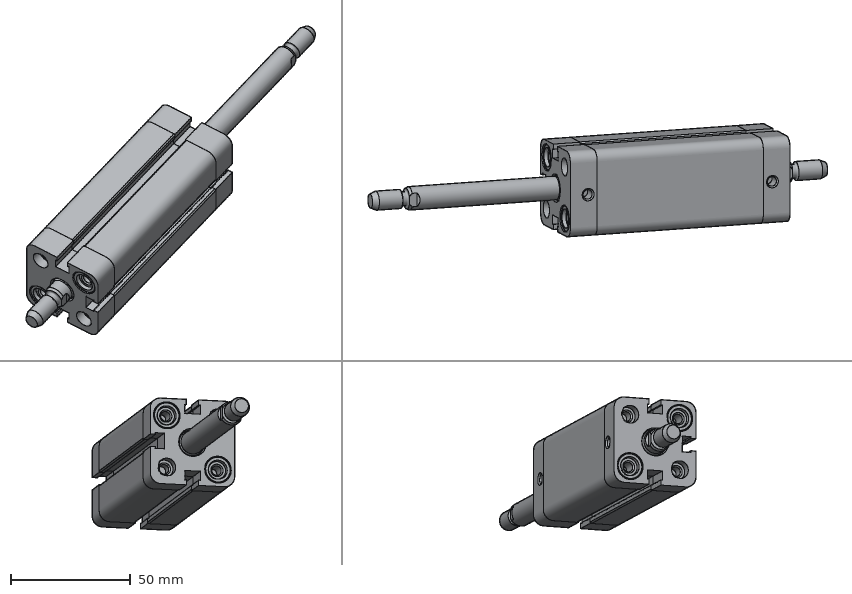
import cadquery as cq


OVERALL_LENGTH = 202
STROKE = 60.0
FRONT_REACH = 22.2
REAR_REACH = FRONT_REACH + STROKE
HOUSING_LENGTH = OVERALL_LENGTH - FRONT_REACH - REAR_REACH
CAP_LENGTH = 12.0
BARREL_LENGTH = HOUSING_LENGTH - 2 * CAP_LENGTH

HOUSING_WIDTH = 36.4
HALF_WIDTH = HOUSING_WIDTH / 2
CORNER_RADIUS = 4.5

SLOT_MOUTH_WIDTH = 5.3
SLOT_INNER_WIDTH = 6.7
SLOT_DEPTH = 6.0
SLOT_LIP = 2.2
BARREL_LIP_CHAMFER = 0.6
SLOT_ANGLES = (0, 90, 180)

BOLT_PITCH = 22.0
BOLT_OFFSET = BOLT_PITCH / 2
OPEN_HOLE_DIAMETER = 7.5
OPEN_HOLE_DEPTH = 4.5
HEAD_DIAMETER = 11.3
HEAD_RECESS = 0.5
HEAD_CHAMFER = 0.5
SOCKET_DIAMETER = 8.0
SOCKET_FLOOR_DIAMETER = 7.5
SOCKET_DEPTH = 1.6
THREAD_MAJOR_DIAMETER = 5.3
THREAD_MINOR_DIAMETER = 4.0
THREAD_CONE_DEPTH = (THREAD_MAJOR_DIAMETER - THREAD_MINOR_DIAMETER) / 2
TAPPED_HOLE_DEPTH = 10.1
PORT_DIAMETER = 4.0
PORT_CHAMFER = 0.6
PORT_DEPTH = 6.0
PORT_SETBACK = 7.9
LIP_GROOVE_DIAMETER = 12.0
LIP_GROOVE_FLOOR_DIAMETER = 11.0
LIP_GROOVE_DEPTH = 1.0

ROD_DIAMETER = 10.0
ROD_END_CHAMFER_DEPTH = 0.6
ROD_END_CHAMFER_LENGTH = 1.2
NECK_DIAMETER = 5.9
NECK_LENGTH = 2.8
NECK_FILLET = 0.6
THREAD_DIAMETER = 8.0
THREAD_LENGTH = 13.1
TIP_DIAMETER = 5.9
TIP_CHAMFER_LENGTH = 2.6
FLATS_WIDTH = 8.0
FLATS_LENGTH = 3.5
SHOULDER_REACH = FRONT_REACH - THREAD_LENGTH - NECK_LENGTH


def disc(diameter, start, length, x=0, z=0):
    """Cylinder along +Y from Y = start."""
    return cq.Workplane(cq.Solid.makeCylinder(
        diameter / 2, length, cq.Vector(x, start, z), cq.Vector(0, 1, 0)))


def cone(start_diameter, end_diameter, start, length, x=0, z=0):
    """Truncated cone along +Y from Y = start."""
    return cq.Workplane(cq.Solid.makeCone(
        start_diameter / 2, end_diameter / 2, length, cq.Vector(x, start, z), cq.Vector(0, 1, 0)))


def slot_cutter(length, lip_chamfer):
    """T-slot open towards +Z, running from Y = 0 to Y = length."""
    mouth = SLOT_MOUTH_WIDTH / 2
    inner = SLOT_INNER_WIDTH / 2
    lip_bottom = HALF_WIDTH - SLOT_LIP
    floor = HALF_WIDTH - SLOT_DEPTH
    right_side = [(inner, floor), (inner, lip_bottom), (mouth, lip_bottom)]
    if lip_chamfer > 0:
        right_side += [(mouth, HALF_WIDTH - lip_chamfer), (mouth + lip_chamfer, HALF_WIDTH)]
    else:
        right_side += [(mouth, HALF_WIDTH)]
    left_side = [(-x, z) for x, z in reversed(right_side)]
    return cq.Workplane("XZ").polyline(right_side + left_side).close().extrude(-length)


def housing_section(length, lip_chamfer=0):
    """Rounded square bar from Y = 0 to Y = length with its slots and the rod bore."""
    bar = (
        cq.Workplane("XZ")
        .rect(HOUSING_WIDTH, HOUSING_WIDTH)
        .extrude(-length)
        .edges("|Y")
        .fillet(CORNER_RADIUS)
    )
    slot = slot_cutter(length, lip_chamfer)
    for angle in SLOT_ANGLES:
        bar = bar.cut(slot.rotate((0, 0, 0), (0, 1, 0), angle))
    return bar.cut(disc(ROD_DIAMETER, 0, length))


def tapped_hole(start, x, z):
    """Countersunk tapped hole from Y = start to the shared hole depth."""
    countersink = cone(THREAD_MAJOR_DIAMETER, THREAD_MINOR_DIAMETER, start, THREAD_CONE_DEPTH, x, z)
    return countersink.union(disc(THREAD_MINOR_DIAMETER, start, TAPPED_HOLE_DEPTH - start, x, z))


def open_hole(x, z):
    """Plain mounting hole that narrows to a tapped hole."""
    return disc(OPEN_HOLE_DIAMETER, 0, OPEN_HOLE_DEPTH, x, z).union(tapped_hole(OPEN_HOLE_DEPTH, x, z))


def bolt_recess(x, z):
    """What is missing around and inside a sunk bolt head with a chamfered rim and a round socket."""
    rim_diameter = HEAD_DIAMETER - 2 * HEAD_CHAMFER
    recess = disc(HEAD_DIAMETER, 0, HEAD_RECESS + HEAD_CHAMFER, x, z)
    rim = cone(rim_diameter, HEAD_DIAMETER, HEAD_RECESS, HEAD_CHAMFER, x, z)
    socket_bottom = HEAD_RECESS + SOCKET_DEPTH
    socket = cone(SOCKET_DIAMETER, SOCKET_FLOOR_DIAMETER, HEAD_RECESS, SOCKET_DEPTH, x, z)
    return recess.cut(rim).union(socket).union(tapped_hole(socket_bottom, x, z))


def port():
    """Chamfered air port on the -X side."""
    start = cq.Vector(-HALF_WIDTH, PORT_SETBACK, 0)
    inward = cq.Vector(1, 0, 0)
    radius = PORT_DIAMETER / 2
    bore = cq.Workplane(cq.Solid.makeCylinder(radius, PORT_DEPTH, start, inward))
    chamfer = cq.Solid.makeCone(radius + PORT_CHAMFER, radius, PORT_CHAMFER, start, inward)
    return bore.union(cq.Workplane(chamfer))


def lip_groove():
    """V-groove that leaves a tapered wiper lip around the rod."""
    groove = cone(LIP_GROOVE_DIAMETER, LIP_GROOVE_FLOOR_DIAMETER, 0, LIP_GROOVE_DEPTH)
    lip = cone(ROD_DIAMETER, LIP_GROOVE_FLOOR_DIAMETER, 0, LIP_GROOVE_DEPTH)
    return groove.cut(lip)


def end_cap():
    """End cap with its outer face at Y = 0."""
    cap = housing_section(CAP_LENGTH).cut(lip_groove())
    for side in (-1, 1):
        cap = cap.cut(open_hole(side * BOLT_OFFSET, -side * BOLT_OFFSET))
        cap = cap.cut(bolt_recess(side * BOLT_OFFSET, side * BOLT_OFFSET))
    return cap.cut(port())


def threaded_stud():
    """Stud in front of the housing: chamfered tip, thread envelope and a neck with filleted ends."""
    tip = -FRONT_REACH
    thread_end = tip + THREAD_LENGTH
    shoulder = thread_end + NECK_LENGTH
    thread_radius = THREAD_DIAMETER / 2
    neck_radius = NECK_DIAMETER / 2
    fillet_radius = neck_radius + NECK_FILLET
    return (
        cq.Workplane("XY")
        .moveTo(0, tip)
        .lineTo(TIP_DIAMETER / 2, tip)
        .lineTo(thread_radius, tip + TIP_CHAMFER_LENGTH)
        .lineTo(thread_radius, thread_end)
        .lineTo(fillet_radius, thread_end)
        .tangentArcPoint((neck_radius, thread_end + NECK_FILLET), relative=False)
        .lineTo(neck_radius, shoulder - NECK_FILLET)
        .tangentArcPoint((fillet_radius, shoulder), relative=False)
        .lineTo(0, shoulder)
        .close()
        .revolve(360, (0, 0, 0), (0, 1, 0))
    )


def flat_cutter(side):
    """Waste of one wrench flat at the front shoulder; it runs out along a 45 degree slope."""
    flat = FLATS_WIDTH / 2
    outside = ROD_DIAMETER
    flat_end = FLATS_LENGTH - SHOULDER_REACH
    return (
        cq.Workplane("XY")
        .polyline([
            (side * flat, -SHOULDER_REACH),
            (side * flat, flat_end),
            (side * outside, flat_end + outside - flat),
            (side * outside, -SHOULDER_REACH),
        ])
        .close()
        .extrude(ROD_DIAMETER, both=True)
    )


def mirrored_to_rear(shape, rear_y):
    """Mirror a shape in the plane Y = 0, then move it along +Y by rear_y."""
    return shape.mirror("XZ").translate((0, rear_y, 0))


def piston_rod():
    """Through rod with a threaded stud and two wrench flats at each end."""
    rear_y = HOUSING_LENGTH + STROKE
    rod = disc(ROD_DIAMETER, -SHOULDER_REACH, rear_y + 2 * SHOULDER_REACH)
    rod = rod.faces("<Y or >Y").chamfer(ROD_END_CHAMFER_LENGTH, ROD_END_CHAMFER_DEPTH)
    for side in (-1, 1):
        cutter = flat_cutter(side)
        rod = rod.cut(cutter).cut(mirrored_to_rear(cutter, rear_y))
    stud = threaded_stud()
    return rod.union(stud).union(mirrored_to_rear(stud, rear_y))


barrel = housing_section(BARREL_LENGTH, BARREL_LIP_CHAMFER).translate((0, CAP_LENGTH, 0))
front_cap = end_cap()
rear_cap = mirrored_to_rear(end_cap(), HOUSING_LENGTH)
rod = piston_rod()

result = cq.Compound.makeCompound([barrel.val(), front_cap.val(), rear_cap.val(), rod.val()])